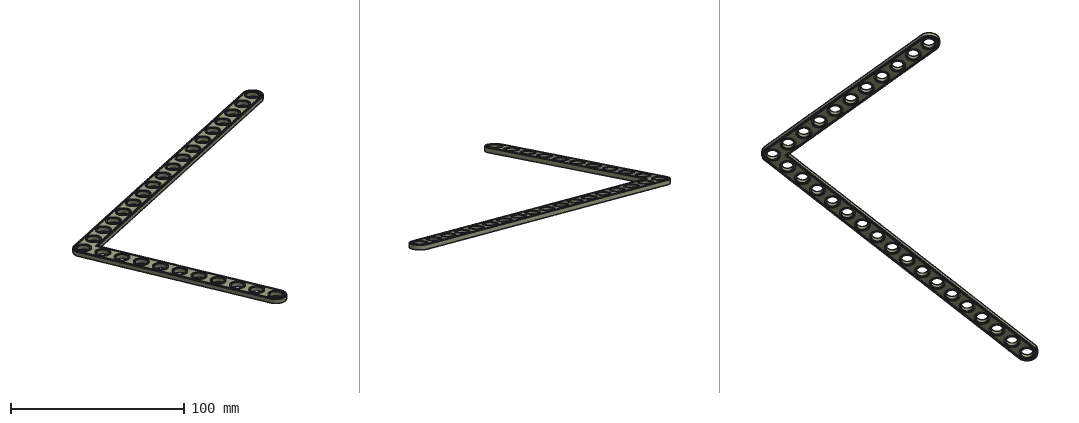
import cadquery as cq

long_side = 225.0
long_arm_holes = 18
short_arm_holes = 11
thickness = 3.2
hole_diameter = 7.0
ring_diameter = 9.2
border_width = 1.1
recess_depth = 0.2
edge_chamfer = 0.32

pitch = long_side / long_arm_holes


def arm(hole_count, inset, height):
    """Round-ended bar along +X, first hole at the origin, outline moved in by inset."""
    span = (hole_count - 1) * pitch
    width = pitch - 2 * inset
    return (
        cq.Workplane("XY")
        .center(span / 2, 0)
        .slot2D(span + width, width)
        .extrude(height)
    )


def angle_plate(inset, height):
    """L-shaped plate of two arms that share a rounded corner at the origin."""
    short_arm = arm(short_arm_holes, inset, height)
    long_arm = arm(long_arm_holes, inset, height).rotate((0, 0, 0), (0, 0, 1), 90)
    return short_arm.union(long_arm).clean()


def cylinders(diameter, height):
    """One upright cylinder standing at every hole position."""
    return cq.Workplane("XY").pushPoints(hole_centers).circle(diameter / 2).extrude(height)


def face_recess():
    """Shallow floor inside the border, leaving a ring standing around each hole."""
    floor = angle_plate(border_width, recess_depth)
    return floor.cut(cylinders(ring_diameter, recess_depth))


hole_centers = [(i * pitch, 0) for i in range(short_arm_holes)]
hole_centers += [(0, i * pitch) for i in range(1, long_arm_holes)]

result = angle_plate(0, thickness).cut(cylinders(hole_diameter, thickness))
result = result.faces("<Z or >Z").edges().chamfer(edge_chamfer)

for recess_bottom in (0, thickness - recess_depth):
    result = result.cut(face_recess().translate((0, 0, recess_bottom)))